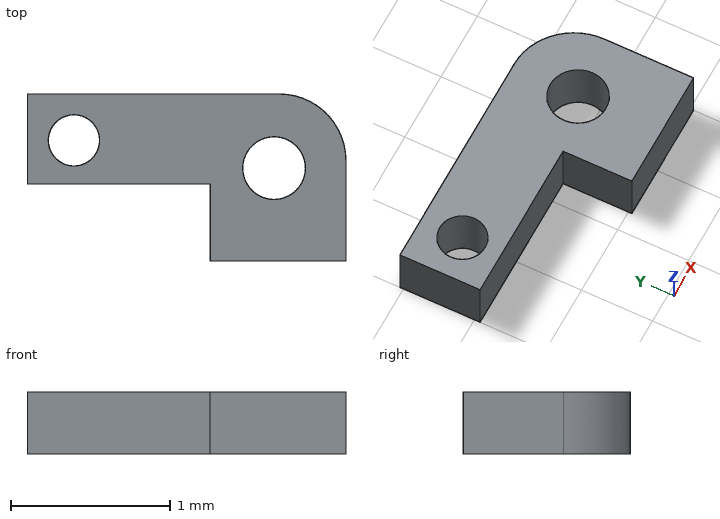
import cadquery as cq

length = 2.0
width = 1.05
thickness = 0.39

arm_width = 0.565
foot_length = 0.855
corner_radius = 0.42

arm_hole_diameter = 0.32
arm_hole_from_left = 0.292
arm_hole_from_back = 0.292
foot_hole_diameter = 0.392
foot_hole_from_left = 1.548
foot_hole_from_back = 0.465


def plate():
    """L-shaped plate: a long arm along the back, a foot at the right end."""
    arm = cq.Workplane("XY").box(length, arm_width, thickness, centered=False)
    arm = arm.translate((0, width - arm_width, 0))
    foot = cq.Workplane("XY").box(foot_length, width, thickness, centered=False)
    foot = foot.translate((length - foot_length, 0, 0))
    return arm.union(foot).clean().edges("|Z and >X and >Y").fillet(corner_radius)


def through_hole(diameter, from_left, from_back):
    """Vertical cylinder that cuts a hole through the plate."""
    return (
        cq.Workplane("XY")
        .center(from_left, width - from_back)
        .circle(diameter / 2)
        .extrude(thickness)
    )


result = (
    plate()
    .cut(through_hole(arm_hole_diameter, arm_hole_from_left, arm_hole_from_back))
    .cut(through_hole(foot_hole_diameter, foot_hole_from_left, foot_hole_from_back))
)